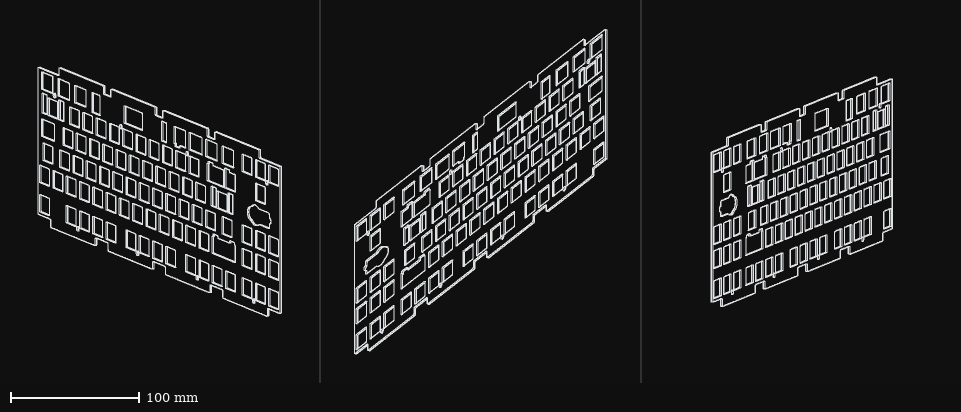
import cadquery as cq

UNIT = 19.05
PLATE_WIDTH = 347.71
PLATE_THICKNESS = 1.5
TOTAL_HEIGHT = 132.16
LAYOUT_WIDTH_UNITS = 18.25
LAYOUT_HEIGHT_UNITS = 6.25
BODY_HEIGHT = LAYOUT_HEIGHT_UNITS * UNIT
OUTLINE_RADIUS = 1.0

TAB_COUNT = 4
TAB_WIDTH = 63.9
UPPER_TAB_PITCH = 74.55
LOWER_TAB_PITCH = 82.35

SWITCH_SIZE = 14.0
STABILIZER_WIDTH = 7.0
STABILIZER_LONG_REACH = 9.0
STABILIZER_SHORT_REACH = 7.0
CUTOUT_RADIUS = 0.55

SHORT_STABILIZER = 11.94
LONG_STABILIZER = 2.625 * UNIT
LONGEST_STABILIZER = 3 * UNIT

HOLE_DIAMETER = 3.5


FUNCTION_ROW = 0.5
NUMBER_ROW = 1.75
TAB_ROW = 2.75
CAPS_ROW = 3.75
SHIFT_ROW = 4.75
SPACE_ROW = 5.75

UPPER_OUTER_HOLE_Z = 42.1
UPPER_INNER_HOLE_Z = 39.0
LOWER_HOLE_Z = -58.1
HOLES = (
    [(units, UPPER_OUTER_HOLE_Z) for units in (1.25, 17.25)]
    + [(units, UPPER_INNER_HOLE_Z) for units in (6.25, 11.25)]
    + [(units, LOWER_HOLE_Z) for units in (3.0, 7.5, 12.0, 16.25)]
)

LOBE_CENTER_UNITS = 16.37
LOBE_RADIUS = 8.2
NOSE_RADIUS = 5.6
NOSE_OFFSET = -5.5
BARREL_LENGTH = 20.4
BARREL_HEIGHT = 12.6
BARREL_CORNER_RADIUS = 1.5
TIP_RADIUS = 2.2


def x_at(units):
    """X of a place given in key units from the left edge of the layout."""
    return (units - LAYOUT_WIDTH_UNITS / 2) * UNIT


def z_at(units):
    """Z of a place given in key units from the lower edge of the layout."""
    return (units - LAYOUT_HEIGHT_UNITS / 2) * UNIT


def block(left, right, bottom, top):
    """Plate-thick block in the XZ plane, centred on Y = 0."""
    return cq.Workplane("XY").box(right - left, PLATE_THICKNESS, top - bottom).translate(
        ((left + right) / 2, 0, (bottom + top) / 2)
    )


def rounded_block(left, right, bottom, top):
    """Block with the corner radius of the switch and stabilizer openings."""
    return block(left, right, bottom, top).edges("|Y").fillet(CUTOUT_RADIUS)


def disc(x, z, radius):
    """Plate-thick disc with its axis along Y."""
    return (
        cq.Workplane("XZ")
        .center(x, z)
        .circle(radius)
        .extrude(PLATE_THICKNESS / 2, both=True)
    )


def switch_cutout(first, last, row):
    """Opening for one switch, stretched to serve centres from first to last."""
    half = SWITCH_SIZE / 2
    z = z_at(row)
    return rounded_block(x_at(first) - half, x_at(last) + half, z - half, z + half)


def stabilizer_cutout(first_x, last_x, row):
    """Stabilizer slot serving slot centres from first_x to last_x."""
    half = STABILIZER_WIDTH / 2
    below, above = STABILIZER_SHORT_REACH, STABILIZER_LONG_REACH
    if row == SPACE_ROW:
        below, above = above, below
    z = z_at(row)
    return rounded_block(first_x - half, last_x + half, z - below, z + above)


def stabilizer_pair(center, row):
    """Slots on both sides of a 2 to 2.75 unit key."""
    left = x_at(center) - SHORT_STABILIZER
    right = x_at(center) + SHORT_STABILIZER
    return [stabilizer_cutout(left, left, row), stabilizer_cutout(right, right, row)]


def merged(*pieces):
    """Union of overlapping openings."""
    shape = pieces[0]
    for piece in pieces[1:]:
        shape = shape.union(piece)
    return shape


def run_of_keys(first, count, row):
    """Single switch openings at one unit pitch."""
    return [switch_cutout(first + i, first + i, row) for i in range(count)]


def function_row():
    """Escape key and three groups of four function keys."""
    escape = 0.5
    group_starts = (2.5, 7.0, 11.5)
    group_size = 4
    keys = run_of_keys(escape, 1, FUNCTION_ROW)
    for first in group_starts:
        keys += run_of_keys(first, group_size, FUNCTION_ROW)
    return keys


def number_row():
    """Thirteen single keys and backspace, which is whole or split in two."""
    backspace = 14.0
    split_offset = 0.5
    opening = merged(
        switch_cutout(backspace - split_offset, backspace + split_offset, NUMBER_ROW),
        *stabilizer_pair(backspace, NUMBER_ROW),
    )
    first_key, single_keys = 0.5, 13
    return run_of_keys(first_key, single_keys, NUMBER_ROW) + [opening]


def tab_row():
    """Tab key, twelve single keys and the 1.5 unit key at the row end."""
    tab_key, first_letter, letters, row_end = 0.75, 2.0, 12, 14.25
    keys = run_of_keys(tab_key, 1, TAB_ROW)
    keys += run_of_keys(first_letter, letters, TAB_ROW)
    return keys + run_of_keys(row_end, 1, TAB_ROW)


def caps_row():
    """Caps lock for two key centres, eleven single keys and enter."""
    stepped_caps, plain_caps, enter = 0.625, 0.875, 13.875
    first_letter, letters = 2.25, 11
    keys = [switch_cutout(stepped_caps, plain_caps, CAPS_ROW)]
    keys += run_of_keys(first_letter, letters, CAPS_ROW)
    keys += run_of_keys(enter, 1, CAPS_ROW)
    return keys + stabilizer_pair(enter, CAPS_ROW)


def shift_row():
    """Left shift, ten single keys, two kinds of right shift and the up arrow."""
    left_shift = 1.125
    first_letter, letters = 2.75, 10
    keys = run_of_keys(left_shift, 1, SHIFT_ROW)
    keys += run_of_keys(first_letter, letters, SHIFT_ROW)
    keys += stabilizer_pair(left_shift, SHIFT_ROW)
    whole_shift, short_shift, extra_key = 13.625, 13.125, 14.5
    left_slot, right_slot = stabilizer_pair(whole_shift, SHIFT_ROW)
    keys.append(merged(switch_cutout(short_shift, whole_shift, SHIFT_ROW), left_slot))
    keys.append(merged(switch_cutout(extra_key, extra_key, SHIFT_ROW), right_slot))
    up_arrow = 16.75
    return keys + run_of_keys(up_arrow, 1, SHIFT_ROW)


def space_row():
    """Space bar of 6.25 or 7 units with modifier keys for both layouts."""
    space, long_space = 6.875, 7.5
    spans = [
        (0.625, 0.75),
        (1.875, 2.0),
        (3.125, 3.25),
        (space, long_space),
        (11.75, 12.0),
        (13.0, 13.125),
        (14.25, 14.375),
    ]
    keys = [switch_cutout(first, last, SPACE_ROW) for first, last in spans]
    left_slot = stabilizer_cutout(
        x_at(space) - LONG_STABILIZER, x_at(long_space) - LONGEST_STABILIZER, SPACE_ROW
    )
    inner_x = x_at(space) + LONG_STABILIZER
    modifier, wide_modifier = 10.625, 10.75
    outer_x = x_at(long_space) + LONGEST_STABILIZER
    keys.append(left_slot)
    keys.append(stabilizer_cutout(inner_x, inner_x, SPACE_ROW))
    keys.append(
        merged(
            switch_cutout(modifier, wide_modifier, SPACE_ROW),
            stabilizer_cutout(outer_x, outer_x, SPACE_ROW),
        )
    )
    return keys


def navigation_keys():
    """Three-key groups at the right end of the rows."""
    first_column, columns = 15.75, 3
    keys = []
    for row in (FUNCTION_ROW, NUMBER_ROW, TAB_ROW, SPACE_ROW):
        keys += run_of_keys(first_column, columns, row)
    return keys


def lobed_opening():
    """Rectangular barrel with a lobe and a nose on its left and a small tip on its right."""
    x = x_at(LOBE_CENTER_UNITS)
    z = z_at(CAPS_ROW)
    half = BARREL_HEIGHT / 2
    opening = block(x, x + BARREL_LENGTH, z - half, z + half)
    opening = opening.edges("|Y and >X").fillet(BARREL_CORNER_RADIUS)
    opening = opening.union(disc(x, z, LOBE_RADIUS))
    opening = opening.union(disc(x + NOSE_OFFSET, z, NOSE_RADIUS))
    return opening.union(disc(x + BARREL_LENGTH, z, TIP_RADIUS))


def blank_plate():
    """Rectangular body with a row of tabs on the upper and lower edges."""
    half_body = BODY_HEIGHT / 2
    half_total = TOTAL_HEIGHT / 2
    plate = block(-PLATE_WIDTH / 2, PLATE_WIDTH / 2, -half_body, half_body)
    for i in range(TAB_COUNT):
        steps = i - (TAB_COUNT - 1) / 2
        upper = steps * UPPER_TAB_PITCH
        lower = steps * LOWER_TAB_PITCH
        plate = plate.union(block(upper - TAB_WIDTH / 2, upper + TAB_WIDTH / 2, 0, half_total))
        plate = plate.union(block(lower - TAB_WIDTH / 2, lower + TAB_WIDTH / 2, -half_total, 0))
    return plate.clean().edges("|Y").fillet(OUTLINE_RADIUS)


openings = (
    function_row() + number_row() + tab_row() + caps_row() + shift_row() + space_row()
    + navigation_keys() + [lobed_opening()]
)
openings += [disc(x_at(units), z, HOLE_DIAMETER / 2) for units, z in HOLES]

plate = blank_plate().val().cut(*[opening.val() for opening in openings])
result = cq.Workplane(obj=plate)